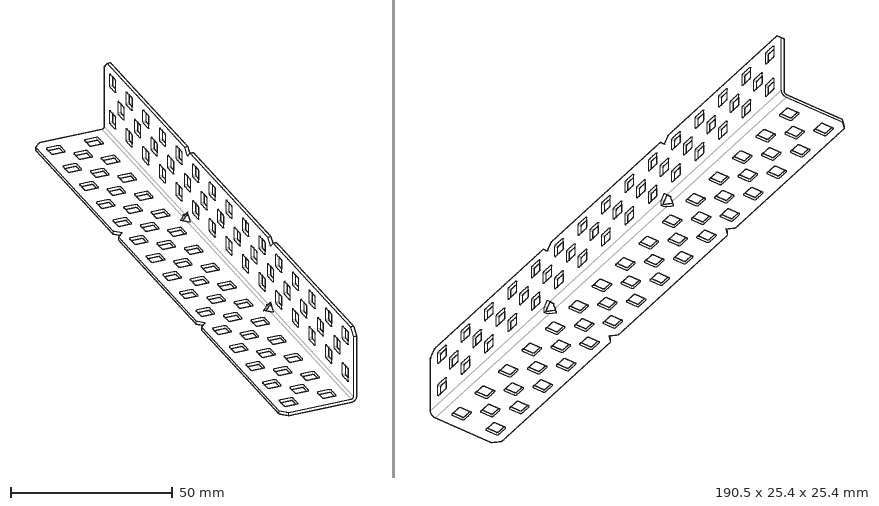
import cadquery as cq
import math

LENGTH = 190.5
COLUMNS = 15
PITCH = LENGTH / COLUMNS
FLANGE_WIDTH = 2 * PITCH
THICKNESS = 1.1

INNER_RADIUS = 0.8
OUTER_RADIUS = INNER_RADIUS + THICKNESS

ROW_SPACING = 6.5
HOLE_SIZE = 4.5
HOLE_CORNER_RADIUS = 0.4
TOP_ROW_HEIGHT = 20.4

CORNER_CHAMFER = 2.3
NOTCH_DEPTH = 2.1
BREAK_SPACING = LENGTH / 3
BREAK_POSITIONS = (-BREAK_SPACING / 2, BREAK_SPACING / 2)

DIAMOND_TIP_HEIGHT = 3.5
BEND_HALF_LENGTH = math.pi / 4 * (INNER_RADIUS + THICKNESS / 2)
DIAMOND_TANGENT_HALF_WIDTH = DIAMOND_TIP_HEIGHT - OUTER_RADIUS
DIAMOND_HALF_WIDTH = DIAMOND_TANGENT_HALF_WIDTH + BEND_HALF_LENGTH

CUT_MARGIN = 0.4



def through_upright(sketch):
    """Extrude a sketch drawn on the XZ plane through the upright flange."""
    return sketch.extrude(THICKNESS + CUT_MARGIN).translate((0, CUT_MARGIN / 2, 0))


def angle_body():
    """Bent sheet of constant thickness with chamfered free corners."""
    bend_shift = OUTER_RADIUS * (1 - math.sqrt(0.5))
    inner_shift = OUTER_RADIUS - INNER_RADIUS * math.sqrt(0.5)
    return (
        cq.Workplane("YZ", origin=(-LENGTH / 2, 0, 0))
        .moveTo(0, FLANGE_WIDTH)
        .lineTo(0, OUTER_RADIUS)
        .threePointArc((-bend_shift, bend_shift), (-OUTER_RADIUS, 0))
        .lineTo(-FLANGE_WIDTH, 0)
        .lineTo(-FLANGE_WIDTH, THICKNESS)
        .lineTo(-OUTER_RADIUS, THICKNESS)
        .threePointArc((-inner_shift, inner_shift), (-THICKNESS, OUTER_RADIUS))
        .lineTo(-THICKNESS, FLANGE_WIDTH)
        .close()
        .extrude(LENGTH)
        .edges("(|Y and >Z) or (|Z and <Y)")
        .chamfer(CORNER_CHAMFER)
    )


def square_holes():
    """Three rows of square holes; the middle row sits half a pitch over."""
    points = []
    for row, columns in enumerate((COLUMNS, COLUMNS - 1, COLUMNS)):
        height = TOP_ROW_HEIGHT - row * ROW_SPACING
        for column in range(columns):
            points.append(((column - (columns - 1) / 2) * PITCH, height))
    holes = through_upright(cq.Workplane("XZ").pushPoints(points).rect(HOLE_SIZE, HOLE_SIZE))
    return holes.edges("|Y").fillet(HOLE_CORNER_RADIUS)


def edge_notch(x):
    """Right-angled V in the free edge of the flange."""
    outline = [
        (x - NOTCH_DEPTH, FLANGE_WIDTH),
        (x, FLANGE_WIDTH - NOTCH_DEPTH),
        (x + NOTCH_DEPTH, FLANGE_WIDTH),
    ]
    return through_upright(cq.Workplane("XZ").polyline(outline).close())


def diamond_tip(x):
    """Point of the diamond that lies in the flat part of the flange."""
    outline = [
        (x - DIAMOND_TANGENT_HALF_WIDTH, OUTER_RADIUS),
        (x, DIAMOND_TIP_HEIGHT),
        (x + DIAMOND_TANGENT_HALF_WIDTH, OUTER_RADIUS),
    ]
    return through_upright(cq.Workplane("XZ").polyline(outline).close())


def diamond_bend(x):
    """Part of the diamond in the bend, widening from the flange to the middle of the bend."""
    middle_angle = math.pi / 4
    inner = INNER_RADIUS - CUT_MARGIN
    outer = OUTER_RADIUS / math.cos(middle_angle / 2) + CUT_MARGIN
    sections = []
    for angle, half_width in ((0, DIAMOND_TANGENT_HALF_WIDTH), (middle_angle, DIAMOND_HALF_WIDTH)):
        corners = []
        for side, radius in ((-1, inner), (1, inner), (1, outer), (-1, outer)):
            y = radius * math.cos(angle) - OUTER_RADIUS
            z = OUTER_RADIUS - radius * math.sin(angle)
            corners.append(cq.Vector(x + side * half_width, y, z))
        sections.append(cq.Wire.makePolygon(corners, close=True))
    return cq.Workplane(cq.Solid.makeLoft(sections, True))


def upright_cutters():
    """Everything cut from the upright flange and its half of the bend."""
    cutters = [square_holes()]
    for x in BREAK_POSITIONS:
        cutters += [edge_notch(x), diamond_tip(x), diamond_bend(x)]
    return cutters


def folded_over(cutter):
    """Mirror an upright-flange cutter about the bend's middle plane onto the flat flange."""
    return cutter.mirror("XY").rotate((0, 0, 0), (1, 0, 0), -90)


result = angle_body()
for cutter in upright_cutters():
    result = result.cut(cutter).cut(folded_over(cutter))
result = result.translate((0, FLANGE_WIDTH / 2, -FLANGE_WIDTH / 2))